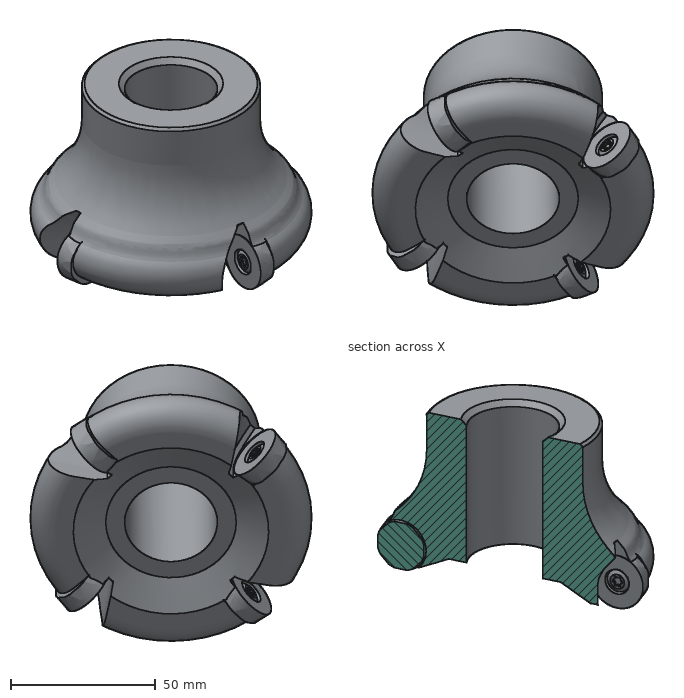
import cadquery as cq
import math


body_height = 60.0
hub_radius = 61.7 / 2
hub_chamfer = 1.0
hub_bottom_z = 45.3
bore_radius = 32.0 / 2
bore_chamfer = 2.0

flare_end = (40.2, 22.5)
cone_end = (42.2, 20.5)
shoulder_mid = (43.5, 18.4)
shoulder_end_z = 15.3

rim_radius = 8.6
rim_center_radius = 40.0

recess_radius = 45.0 / 2
recess_depth = 5.7
recess_mouth_radius = 33.7

insert_count = 4
station_angle = 360 / insert_count
insert_radius = 10.0
insert_thickness = 6.5
insert_center_radius = 50.0 - insert_radius
insert_center_z = 7.0
insert_clearance = 7.0
pocket_taper = 3.0
flat_count = 8
flat_start = 2.4
flat_clearance = 11.0
flat_cutter_width = 8.0
flat_cutter_height = 3.0

insert_center = (0, -insert_center_radius, insert_center_z)
insert_plane = cq.Plane(origin=insert_center, xDir=(0, 1, 0), normal=(1, 0, 0))

screw_mouth_radius = 9.2 / 2
screw_head_radius = 8.5 / 2
screw_top_radius = 5.4 / 2
screw_sink_depth = 1.1
screw_top_depth = 0.2
socket_core_radius = 1.5
socket_lobe_radius = 0.5
socket_depth = 1.2
lobe_count = 6

rake_wall_offset = 0.2
gullet_floor_radius = 29.6
gullet_floor_width = 2.0
gullet_bend_z = 7.8
gullet_bend_control_z = 15.0
gullet_roof_radius = 44.1
gullet_roof_z = 26.0
gullet_outer_radius = 62.0
gullet_bottom_z = -5.0
gullet_angle = 54.5
gullet_run = 30.0


def make_blank():
    """Revolved cutter body with bore, before gullets and pockets."""
    rim_top_angle = math.asin((shoulder_end_z - rim_radius) / rim_radius)
    rim_top = (rim_center_radius + rim_radius * math.cos(rim_top_angle), shoulder_end_z)
    profile = (
        cq.Workplane("XZ")
        .moveTo(bore_radius, recess_depth)
        .lineTo(bore_radius, body_height - bore_chamfer)
        .lineTo(bore_radius + bore_chamfer, body_height)
        .lineTo(hub_radius - hub_chamfer, body_height)
        .lineTo(hub_radius, body_height - hub_chamfer)
        .lineTo(hub_radius, hub_bottom_z)
        .tangentArcPoint(flare_end, relative=False)
        .lineTo(*cone_end)
        .tangentArcPoint(shoulder_mid, relative=False)
        .tangentArcPoint(rim_top, relative=False)
        .threePointArc((rim_center_radius + rim_radius, rim_radius), (rim_center_radius, 0))
        .lineTo(recess_mouth_radius, 0)
        .lineTo(recess_radius, recess_depth)
        .close()
    )
    blank = profile.revolve(360, (0, 0, 0), (0, 1, 0))
    return blank.rotate((0, 0, 0), (0, 0, 1), station_angle / 2)


def gullet_profile(x):
    """Closed gullet outline at the given X, open toward the outside and the bottom."""
    bend = [
        (-gullet_floor_radius, gullet_bend_z),
        (-gullet_floor_radius, gullet_bend_control_z),
        (-gullet_roof_radius, gullet_roof_z),
    ]
    return (
        cq.Workplane("YZ", origin=(x, 0, 0))
        .moveTo(-gullet_floor_radius, gullet_bottom_z)
        .lineTo(*bend[0])
        .bezier(bend)
        .lineTo(-gullet_outer_radius, gullet_roof_z)
        .lineTo(-gullet_outer_radius, gullet_bottom_z)
        .close()
    )


def make_gullet():
    """Chip space in front of the insert at -Y: a narrow floor and a slanted wall."""
    floor = gullet_profile(-gullet_floor_width).extrude(gullet_floor_width + rake_wall_offset)
    angle = math.radians(gullet_angle)
    slant = cq.Vector(-gullet_run * math.cos(angle), -gullet_run * math.sin(angle), 0)
    slanted = cq.Solid.extrudeLinear(gullet_profile(-gullet_floor_width).wire().val(), [], slant)
    return floor.union(cq.Workplane(slanted))


def make_pocket():
    """Round pocket, looser than the insert flank, that seats the back face of the insert at -Y."""
    return cq.Workplane(insert_plane).circle(insert_radius).extrude(insert_thickness, taper=pocket_taper)


def make_insert():
    """Round insert at -Y, rake face on the plane x = 0, with its screw head."""
    insert = cq.Workplane(insert_plane).circle(insert_radius).extrude(insert_thickness, taper=insert_clearance)

    tip_radius = insert_radius - flat_start * math.tan(math.radians(insert_clearance))
    flat_length = 2 * insert_thickness
    flat_drop = flat_length * math.tan(math.radians(flat_clearance))
    flat_cutter = (
        cq.Workplane("XY", origin=(0, 0, -flat_cutter_width / 2))
        .moveTo(flat_start, -tip_radius)
        .lineTo(flat_start + flat_length, -tip_radius + flat_drop)
        .lineTo(flat_start + flat_length, -tip_radius - flat_cutter_height)
        .lineTo(flat_start, -tip_radius - flat_cutter_height)
        .close()
        .extrude(flat_cutter_width)
    )
    for i in range(flat_count):
        turned = flat_cutter.rotate((0, 0, 0), (1, 0, 0), i * 360 / flat_count)
        insert = insert.cut(turned.translate(insert_center))

    sink = (
        cq.Workplane("XY")
        .lineTo(screw_top_depth, 0)
        .lineTo(screw_top_depth, screw_top_radius)
        .lineTo(screw_sink_depth, screw_head_radius)
        .lineTo(0, screw_mouth_radius)
        .close()
        .revolve(360, (0, 0, 0), (1, 0, 0))
        .translate(insert_center)
    )
    socket = (
        cq.Workplane(insert_plane)
        .circle(socket_core_radius)
        .extrude(socket_depth)
        .union(
            cq.Workplane(insert_plane)
            .polarArray(socket_core_radius, 0, 360, lobe_count)
            .circle(socket_lobe_radius)
            .extrude(socket_depth)
        )
    )
    return insert.cut(sink).cut(socket)


def around_spindle(part):
    """Copies of a part at every insert station."""
    return [part.rotate((0, 0, 0), (0, 0, 1), i * station_angle) for i in range(insert_count)]


inserts = around_spindle(make_insert())

body = make_blank()
for gullet in around_spindle(make_gullet()):
    body = body.cut(gullet)
for pocket in around_spindle(make_pocket()):
    body = body.cut(pocket)

result = cq.Compound.makeCompound([body.val(), *[insert.val() for insert in inserts]])